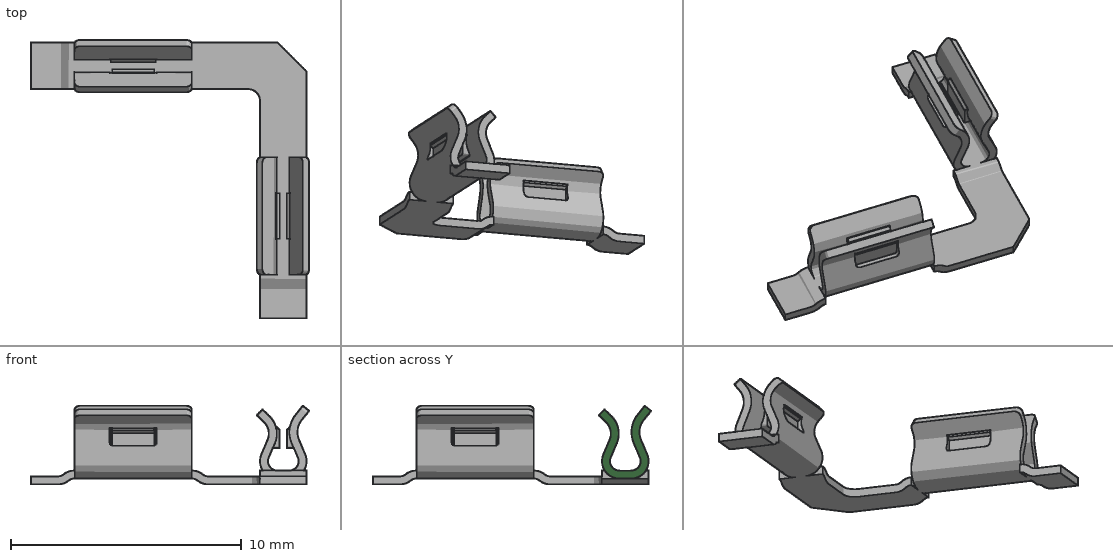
import cadquery as cq
import math


sheet = 0.356
strip_width = 2.032
arm_length = 11.97
corner_chamfer = 1.27
corner_radius = 0.508

foot_length = 1.18
step_length = 0.71
step_height = 0.254
clip_length = 5.10

floor_bend_radius = 0.40
lean_angle = 23.0
lean_length = 0.688
tip_corner_radius = 0.254
tall_leg_height = 3.42
tall_leg_flare = 39.0
tall_throat_radius = 0.85
short_leg_height = 3.26
short_leg_flare = 46.0
short_throat_radius = 0.69

window_width = 2.03
window_bottom = 1.678
window_top = 2.44
window_corner_radius = 0.18
tab_width = 1.96
narrow_tab_width = 1.83
tab_half_gap = 0.155
tab_bottom = 1.58
tab_jog_top = 2.5
tab_jog = 0.125
tab_jog_angle = 45.0
tab_corner_radius = 0.1

clip_middle_y = -strip_width / 2
half_sheet = sheet / 2
clip_start = -arm_length + foot_length + step_length
clip_end = clip_start + clip_length
clip_middle_x = (clip_start + clip_end) / 2
leg_outer = strip_width / 2
clip_floor = step_height + half_sheet
floor_half = leg_outer - sheet - floor_bend_radius
overlap = 0.01


def unit(angle):
    """Unit vector at an angle in degrees."""
    return cq.Vector(math.cos(math.radians(angle)), math.sin(math.radians(angle)))


def trace(start, heading, moves):
    """Follow a mid-line; return the points it passes, each with the heading there.

    A move (length,) runs straight on; a move (radius, turn) bends by `turn` degrees
    and passes two points: half-way round the bend and at its end.
    """
    point = cq.Vector(*start)
    stations = [(point, heading)]
    for move in moves:
        if len(move) == 1:
            point = point + unit(heading) * move[0]
            stations.append((point, heading))
            continue
        radius, turn = move
        side = math.copysign(90, turn)
        centre = point + unit(heading + side) * radius
        for part in (0.5, 1.0):
            angle = heading + turn * part
            stations.append((centre - unit(angle + side) * radius, angle))
        point, heading = stations[-1]
    return stations


def bent_sheet(plane, start, heading, moves, width):
    """Sheet bent along a mid-line in `plane`, extending `width` equally to both sides."""
    stations = trace(start, heading, moves)
    left = [(p + unit(a + 90) * half_sheet).toTuple()[:2] for p, a in stations]
    right = [(p - unit(a + 90) * half_sheet).toTuple()[:2] for p, a in stations]
    outline = plane.moveTo(*left[0])
    at = 0
    for move in moves:
        if len(move) == 1:
            at += 1
            outline = outline.lineTo(*left[at])
        else:
            outline = outline.threePointArc(left[at + 1], left[at + 2])
            at += 2
    outline = outline.lineTo(*right[at])
    for move in reversed(moves):
        if len(move) == 1:
            at -= 1
            outline = outline.lineTo(*right[at])
        else:
            outline = outline.threePointArc(right[at - 1], right[at - 2])
            at -= 2
    return outline.close().extrude(width / 2, both=True)


def section_plane():
    """Cross-section of the clip: local x is the distance from its middle plane, local y is Z."""
    return cq.Workplane("YZ", origin=(clip_middle_x, clip_middle_y, 0))


def step(start_x, heading):
    """S-bend from the strip up to the clip floor, starting at start_x on the strip."""
    turn = math.degrees(2 * math.atan(step_height / step_length))
    radius = step_length / math.sin(math.radians(turn)) / 2
    up = 1 if heading == 0 else -1
    moves = [(radius, up * turn), (radius, -up * turn), (overlap,)]
    plane = cq.Workplane("XZ", origin=(0, clip_middle_y, 0))
    return bent_sheet(plane, (start_x, half_sheet), heading, moves, strip_width)


def foot():
    """Flat free end of the arm."""
    block = cq.Workplane().box(foot_length, strip_width, sheet, centered=False)
    return block.translate((-arm_length, -strip_width, 0))


def corner_plate():
    """Flat L-shaped plate that joins the two arms."""
    reach = clip_end + step_length
    plate = (
        cq.Workplane()
        .moveTo(reach, 0)
        .lineTo(-corner_chamfer, 0)
        .lineTo(0, -corner_chamfer)
        .lineTo(0, reach)
        .lineTo(-strip_width, reach)
        .lineTo(-strip_width, -strip_width)
        .lineTo(reach, -strip_width)
        .close()
        .extrude(sheet)
    )
    inner_corner = cq.selectors.NearestToPointSelector((-strip_width, -strip_width, half_sheet))
    return plate.edges(inner_corner).fillet(corner_radius)


def leg_blank(height, flare, throat_radius):
    """Half floor and leg on the +Y side, with rounded corners at the tip."""
    moves = [
        (floor_half,),
        (floor_bend_radius + half_sheet, 90 + lean_angle),
        (lean_length,),
        (throat_radius + half_sheet, -lean_angle - flare),
    ]
    throat_end = trace((0, clip_floor), 0, moves)[-1][0]
    tip_rise = height - half_sheet * math.sin(math.radians(flare)) - throat_end.y
    moves.append((tip_rise / math.cos(math.radians(flare)),))
    blank = bent_sheet(section_plane(), (0, clip_floor), 0, moves, clip_length)
    tip = trace((0, clip_floor), 0, moves)[-1][0]
    for x in (clip_start, clip_end):
        corner = cq.selectors.NearestToPointSelector((x, clip_middle_y + tip.x, tip.y))
        blank = blank.edges(corner).fillet(tip_corner_radius)
    return blank


def tab(width):
    """Stop tab lanced from the +Y leg, jogged inwards and hanging straight down."""
    jog_angle = math.radians(tab_jog_angle)
    jog_end = tab_jog_top - tab_jog / math.tan(jog_angle)
    miter_drop = sheet * math.tan(jog_angle / 2)
    outer = tab_half_gap + sheet
    blank = (
        section_plane()
        .moveTo(tab_half_gap, tab_bottom)
        .lineTo(tab_half_gap, jog_end)
        .lineTo(tab_half_gap + tab_jog, tab_jog_top)
        .lineTo(outer + tab_jog, tab_jog_top)
        .lineTo(outer + tab_jog, tab_jog_top - miter_drop)
        .lineTo(outer, jog_end - miter_drop)
        .lineTo(outer, tab_bottom)
        .close()
        .extrude(width / 2, both=True)
    )
    return blank.faces("<Z").edges("|Y").fillet(tab_corner_radius)


def window_cutter():
    """Prism that opens the +Y leg; its sill is square to the leaning part of the leg."""
    lean = math.radians(lean_angle)
    bend = floor_bend_radius + sheet
    lean_start_z = step_height + bend * (1 + math.sin(lean))
    lean_start_y = leg_outer - bend * (1 - math.cos(lean))
    sill_y = lean_start_y - (window_bottom - lean_start_z) * math.tan(lean)
    prism = (
        section_plane()
        .moveTo(0, window_bottom - sill_y * math.tan(lean))
        .lineTo(leg_outer, window_bottom + (leg_outer - sill_y) * math.tan(lean))
        .lineTo(leg_outer, window_top)
        .lineTo(0, window_top)
        .close()
        .extrude(window_width / 2, both=True)
    )
    return prism.faces("<Z").edges("not |X").fillet(window_corner_radius)


def leg(height, flare, throat_radius, stop_width):
    """Half clip on the +Y side with its window and stop tab."""
    return leg_blank(height, flare, throat_radius).cut(window_cutter()).union(tab(stop_width))


def clip(short_tab_width):
    """U-shaped spring clip: tall leg on the outer side of the arm, short leg on the inner side."""
    tall = leg(tall_leg_height, tall_leg_flare, tall_throat_radius, tab_width)
    short = leg(short_leg_height, short_leg_flare, short_throat_radius, short_tab_width)
    return tall.union(short.mirror("XZ", (0, clip_middle_y, 0)))


def arm(short_tab_width):
    """Foot, clip and both S-bends of the arm along -X."""
    rising = step(-arm_length + foot_length, 0)
    falling = step(clip_end + step_length, 180)
    return foot().union(rising).union(falling).union(clip(short_tab_width))


x_arm = arm(narrow_tab_width)
y_arm = arm(tab_width).mirror(cq.Vector(1, -1, 0))
result = corner_plate().union(x_arm).union(y_arm)